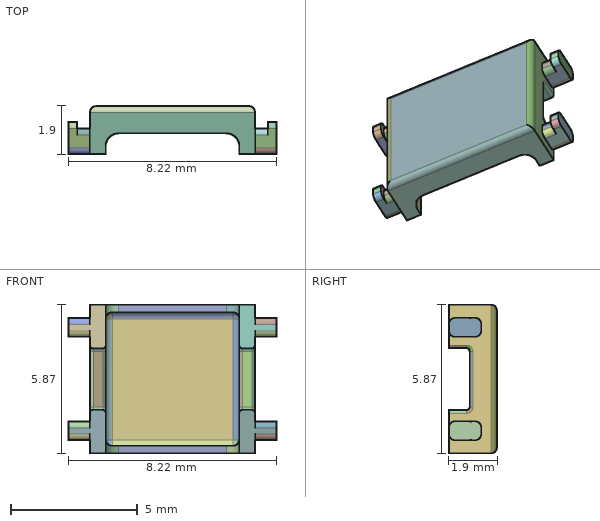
import cadquery as cq

total_width = 8.22
depth = 1.9
height = 5.87

body_width = 6.51
side_wall = 0.625
end_wall = 0.305
cavity_depth = 1.5
edge_radius = 0.25

opening_depth = 0.81
end_opening_radius = 0.5
notch_height = 2.43
notch_radius = 0.12

peg_height = 0.75
peg_offset = 2.04
peg_depth = 1.27
neck_depth = 1.01
head_length = 0.35
peg_overlap = 0.08

cavity_width = body_width - 2 * side_wall
cavity_height = height - 2 * end_wall
peg_length = (total_width - body_width) / 2


def front_box(width, box_depth, box_height):
    """Box centred in X and Z that runs back from the front face."""
    return cq.Workplane("XY").box(width, box_depth, box_height, centered=(True, False, True))


def make_tray():
    block = front_box(body_width, depth, height).faces(">Y").edges().fillet(edge_radius)
    cavity = front_box(cavity_width, cavity_depth, cavity_height)
    cavity = cavity.edges("|Y").fillet(edge_radius).faces(">Y").edges().fillet(edge_radius)
    return block.cut(cavity)


def make_end_opening():
    """Slot through both end walls, with its deep corners rounded."""
    slot = front_box(cavity_width, opening_depth, height)
    return slot.edges(">Y and |Z").fillet(end_opening_radius)


def make_side_notch():
    """Slot through both side walls, with its deep corners rounded."""
    slot = front_box(body_width, opening_depth, notch_height)
    return slot.edges(">Y and |X").fillet(notch_radius)


def round_notch_rims(body):
    """Round the outer and inner rims of the notch in each side wall."""
    reach = notch_height / 2 + notch_radius / 2
    for side in (-1, 1):
        for wall_x in (body_width / 2, cavity_width / 2):
            x = side * wall_x
            rim = cq.selectors.BoxSelector(
                (x - notch_radius / 2, 0, -reach),
                (x + notch_radius / 2, opening_depth + notch_radius / 2, reach),
            )
            body = body.edges(rim).fillet(notch_radius)
    return body


def peg_bar(start_x, length, bar_depth):
    """Bar along +X with all four long edges rounded."""
    bar = front_box(length, bar_depth, peg_height).edges("|X").fillet(edge_radius)
    return bar.translate((start_x + length / 2, 0, 0))


def make_peg():
    """Peg on the +X side at mid height; its neck runs slightly into the body."""
    neck = peg_bar(body_width / 2 - peg_overlap, peg_length + peg_overlap, neck_depth)
    head = peg_bar(total_width / 2 - head_length, head_length, peg_depth)
    return neck.union(head)


body = make_tray().cut(make_end_opening()).cut(make_side_notch())
body = round_notch_rims(body)

right_peg = make_peg()
for peg in (right_peg, right_peg.mirror("YZ")):
    for z in (-peg_offset, peg_offset):
        body = body.union(peg.translate((0, 0, z)))

result = body